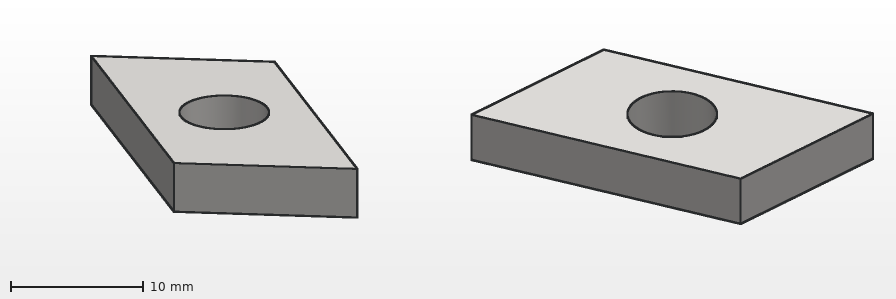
import cadquery as cq

length = 27.5
width = 13.0
thickness = 4.0

end_lean = 5.0

hole_diameter = 6.8

half_length = length / 2
half_width = width / 2

outline = [
    (-half_length, -half_width),
    (half_length - end_lean, -half_width),
    (half_length, half_width),
    (-half_length + end_lean, half_width),
]
plate = cq.Workplane("XY").polyline(outline).close().extrude(thickness)

result = plate.faces(">Z").workplane(origin=(0, 0, thickness)).hole(hole_diameter)